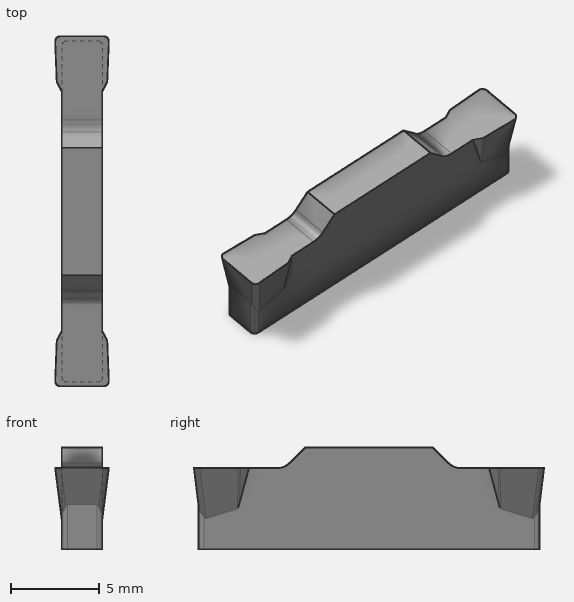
import cadquery as cq
import math

overall_length = 19.82
total_height = 5.77
shoulder_height = 4.6
body_width = 2.32
corner_radius = 0.32
plateau_length = 7.21
ramp_angle = 45.0
ramp_foot_radius = 1.0

head_width = 3.07
relief_angle = 7.0
side_taper_angle = 2.2
head_side_length = 2.58
rear_slant_angle = 27.0
rear_blend_radius = 0.25
head_depth = 3.17
end_step_height = 2.54

relief_slope = math.tan(math.radians(relief_angle))
body_length = overall_length - 2 * (shoulder_height - end_step_height) * relief_slope


def make_body():
    """Bar with a raised central plateau and filleted ramp feet."""
    half_length = body_length / 2
    plateau_end = plateau_length / 2
    ramp_run = (total_height - shoulder_height) / math.tan(math.radians(ramp_angle))
    ramp_foot = plateau_end + ramp_run
    body = (
        cq.Workplane("YZ")
        .moveTo(-half_length, 0)
        .lineTo(half_length, 0)
        .lineTo(half_length, shoulder_height)
        .lineTo(ramp_foot, shoulder_height)
        .lineTo(plateau_end, total_height)
        .lineTo(-plateau_end, total_height)
        .lineTo(-ramp_foot, shoulder_height)
        .lineTo(-half_length, shoulder_height)
        .close()
        .extrude(body_width / 2, both=True)
    )
    body = body.edges("|Z").fillet(corner_radius)
    for foot_y in (-ramp_foot, ramp_foot):
        foot_edge = cq.selectors.NearestToPointSelector((0, foot_y, shoulder_height))
        body = body.edges(foot_edge).fillet(ramp_foot_radius)
    return body


def make_head():
    """Cutting head at the -Y end: a tapered plan with relief on every flank."""
    front_y = -overall_length / 2
    front_x = head_width / 2
    side_end_y = front_y + head_side_length
    side_end_x = front_x - head_side_length * math.tan(math.radians(side_taper_angle))
    point_y = side_end_y + side_end_x / math.tan(math.radians(rear_slant_angle))
    head = (
        cq.Workplane("XY", origin=(0, 0, shoulder_height))
        .moveTo(-front_x, front_y)
        .lineTo(front_x, front_y)
        .lineTo(side_end_x, side_end_y)
        .lineTo(0, point_y)
        .lineTo(-side_end_x, side_end_y)
        .close()
        .extrude(-head_depth, taper=relief_angle)
    )
    middle_z = shoulder_height - head_depth / 2
    inset = head_depth / 2 * relief_slope
    for side in (-1, 1):
        front_edge = cq.selectors.NearestToPointSelector(
            (side * (front_x - inset), front_y + inset, middle_z))
        head = head.edges(front_edge).fillet(corner_radius)
        rear_edge = cq.selectors.NearestToPointSelector(
            (side * (side_end_x - inset), side_end_y, middle_z))
        head = head.edges(rear_edge).fillet(rear_blend_radius)
    return head


head = make_head()
opposite_head = head.mirror("XZ")
result = make_body().union(head).union(opposite_head)